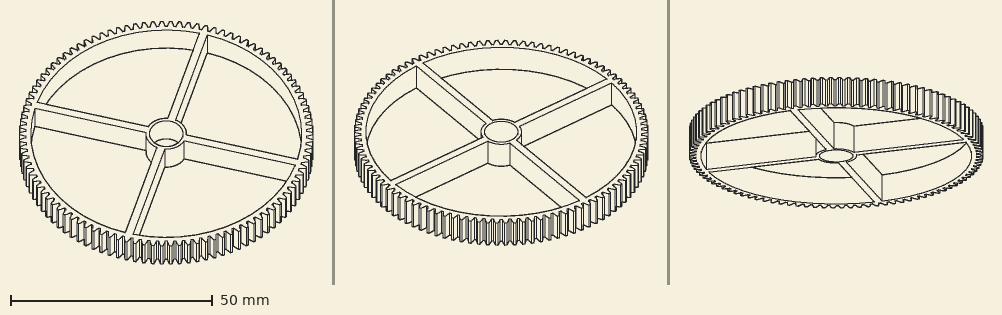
import cadquery as cq
import math

outer_diameter = 72.7
gear_width = 7.0
tooth_count = 102
pressure_angle = math.radians(20)
rim_inner_diameter = 67.0
hub_diameter = 10.0
bore_diameter = 8.3
spoke_width = 2.0
spoke_count = 4

addendum_factor = 1.0
dedendum_factor = 1.25
module = outer_diameter / (tooth_count + 2 * addendum_factor)
tip_radius = outer_diameter / 2
pitch_radius = module * tooth_count / 2
root_radius = pitch_radius - dedendum_factor * module
base_radius = pitch_radius * math.cos(pressure_angle)
pitch_angle = 2 * math.pi / tooth_count


def polar(radius, angle):
    return (radius * math.cos(angle), radius * math.sin(angle))


def involute(angle):
    return math.tan(angle) - angle


def half_tooth_angle(radius):
    """Angle from the tooth centre line to its involute flank at a radius."""
    flank_pressure_angle = math.acos(base_radius / radius)
    return pitch_angle / 4 + involute(pressure_angle) - involute(flank_pressure_angle)


def toothed_disc():
    """Solid disc with involute teeth; a tooth gap is centred on the +X axis."""
    root_half = half_tooth_angle(root_radius)
    pitch_half = half_tooth_angle(pitch_radius)
    tip_half = half_tooth_angle(tip_radius)

    first_centre = pitch_angle / 2
    outline = cq.Workplane("XY").moveTo(*polar(root_radius, first_centre - root_half))
    for tooth in range(tooth_count):
        centre = first_centre + tooth * pitch_angle
        gap_centre = centre + pitch_angle / 2
        next_centre = centre + pitch_angle
        outline = (
            outline
            .threePointArc(polar(pitch_radius, centre - pitch_half), polar(tip_radius, centre - tip_half))
            .threePointArc(polar(tip_radius, centre), polar(tip_radius, centre + tip_half))
            .threePointArc(polar(pitch_radius, centre + pitch_half), polar(root_radius, centre + root_half))
            .threePointArc(polar(root_radius, gap_centre), polar(root_radius, next_centre - root_half))
        )
    return outline.close().extrude(gear_width)


def cylinder(diameter):
    return cq.Workplane("XY").circle(diameter / 2).extrude(gear_width)


def spokes():
    """Radial bars from the gear axis to the middle of the rim."""
    length = (rim_inner_diameter / 2 + root_radius) / 2
    bar = cq.Workplane("XY").box(length, spoke_width, gear_width, centered=(False, True, False))
    bars = bar
    for spoke in range(1, spoke_count):
        bars = bars.union(bar.rotate((0, 0, 0), (0, 0, 1), spoke * 360 / spoke_count))
    return bars


rim = toothed_disc().cut(cylinder(rim_inner_diameter))
hub = cylinder(hub_diameter)
result = rim.union(spokes()).union(hub).cut(cylinder(bore_diameter))